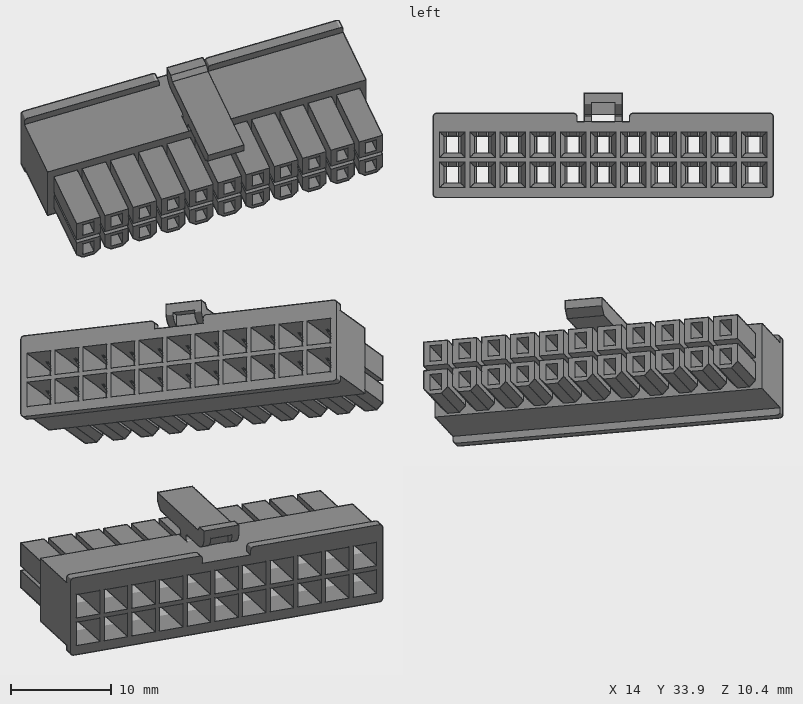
import cadquery as cq
import math

length = 33.85
total_depth = 14.0
total_height = 10.4
flange_depth = 1.0
flange_height = 8.4
flange_corner = 0.37
block_depth = 7.55
block_bottom = 0.75
block_top = 7.55
flange_gap_width = 5.2

contacts_per_row = 11
row_span = 30.0
pitch = row_span / (contacts_per_row - 1)
tube_size = 2.5
lower_row_z = 2.27
row_heights = (lower_row_z, lower_row_z + pitch)
tube_chamfer = 0.65

mouth_size = 2.55
mouth_depth = 3.4
funnel_end = 5.1
throat_size = 1.65
window_width = 1.2
window_height = 1.62
groove_width = 0.2
groove_spacing = 0.98

latch_width = 3.8
leg_width = 0.75
leg_gap = latch_width - 2 * leg_width
arm_front = 1.32
arm_back = 12.95
arm_bottom = 8.25
arm_top = 9.92
nose_back = 2.37
nose_ramp = total_height - arm_top
arm_back_chamfer = 0.78
nose_radius = 1.25
leg_front = 5.5
leg_back = 7.48
notch_depth = 1.0
notch_top = 9.45


def box(x_min, x_max, y_center, width, z_min, z_max):
    """Axis-aligned box centred on y_center."""
    return (
        cq.Workplane("XY")
        .box(x_max - x_min, width, z_max - z_min, centered=(False, True, False))
        .translate((x_min, y_center, z_min))
    )


def make_flange():
    flange = box(0, flange_depth, 0, length, 0, flange_height)
    gap = box(0, flange_depth, 0, flange_gap_width, block_top, flange_height)
    return flange.cut(gap).edges("|X and (>Z or <Z)").fillet(flange_corner)


def make_tube(y, z, chamfered):
    half = tube_size / 2
    tube = box(block_depth, total_depth, y, tube_size, z - half, z + half)
    if chamfered:
        tube = tube.faces("<Z").edges("|X").chamfer(tube_chamfer)
    return tube


def make_cavity(y, z):
    half = mouth_size / 2
    mouth = box(0, mouth_depth, y, mouth_size, z - half, z + half)
    funnel = (
        cq.Workplane("YZ", origin=(mouth_depth, 0, 0))
        .center(y, z)
        .rect(mouth_size, mouth_size)
        .workplane(offset=funnel_end - mouth_depth)
        .rect(throat_size, throat_size)
        .loft(ruled=True)
    )
    window = box(
        funnel_end, total_depth, y, window_width, z - window_height / 2, z + window_height / 2
    )
    cavity = mouth.union(funnel).union(window)
    for side in (-1, 1):
        groove_y = y + side * groove_spacing / 2
        cavity = cavity.union(box(mouth_depth, funnel_end, groove_y, groove_width, z, z + half))
    return cavity


def make_latch():
    leg_radius = (arm_bottom - block_top) / 2
    leg_middle = block_top + leg_radius
    nose_inset = nose_radius * (1 - math.sqrt(0.5))
    profile = (
        cq.Workplane("XZ")
        .moveTo(arm_front, arm_bottom + nose_radius)
        .lineTo(arm_front, total_height)
        .lineTo(nose_back, total_height)
        .lineTo(nose_back + nose_ramp, arm_top)
        .lineTo(arm_back, arm_top)
        .lineTo(arm_back, arm_bottom + arm_back_chamfer)
        .lineTo(arm_back - arm_back_chamfer, arm_bottom)
        .lineTo(leg_back, arm_bottom)
        .threePointArc((leg_back - leg_radius, leg_middle), (leg_back, block_top))
        .lineTo(leg_front, block_top)
        .threePointArc((leg_front + leg_radius, leg_middle), (leg_front, arm_bottom))
        .lineTo(arm_front + nose_radius, arm_bottom)
        .threePointArc(
            (arm_front + nose_inset, arm_bottom + nose_inset),
            (arm_front, arm_bottom + nose_radius),
        )
        .close()
    )
    arm = profile.extrude(latch_width / 2, both=True)
    leg_opening = box(0, block_depth, 0, leg_gap, block_top, arm_bottom)
    nose_notch = box(0, arm_front + notch_depth, 0, leg_gap, block_top, notch_top)
    return arm.cut(leg_opening).cut(nose_notch)


body = make_flange().union(box(0, block_depth, 0, length, block_bottom, block_top))
body = body.union(make_latch())
cavities = []
for row_z in row_heights:
    for column in range(contacts_per_row):
        column_y = column * pitch - row_span / 2
        body = body.union(make_tube(column_y, row_z, row_z == lower_row_z))
        cavities.append(make_cavity(column_y, row_z).val())

result = body.cut(cq.Workplane(cq.Compound.makeCompound(cavities)))